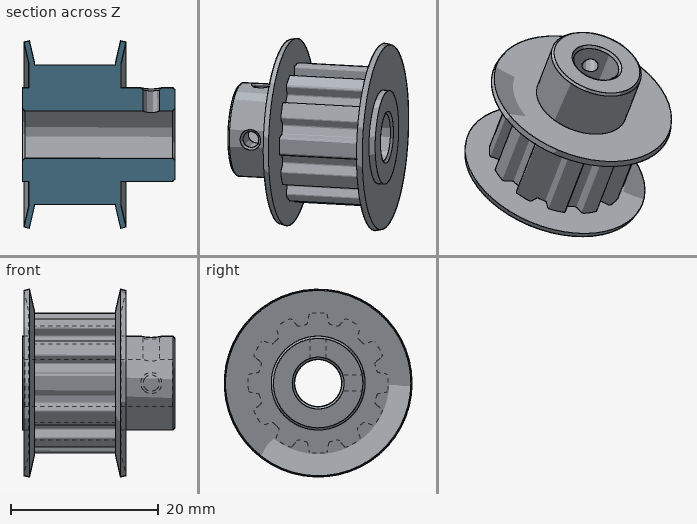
import cadquery as cq
import math


total_length = 20.65
belt_start = 1.65
belt_width = 10.92
belt_end = belt_start + belt_width

hub_radius = 6.35
hub_chamfer = 0.3
bore_radius = 3.18
bore_chamfer = 0.33

tooth_count = 12
tooth_tip_radius = 9.47
groove_depth = 1.4
groove_bottom_width = 1.32
groove_angle = 50.0
tip_fillet = 0.35
root_fillet = 0.38

flange_radius = 12.7
flange_bend_radius = 9.63
flange_thickness = 0.8
flange_bend_angle = 13.0

screw_x = 17.42
screw_radius = 1.1
screw_chamfer = 0.33


def disc(radius, start, end):
    """Solid cylinder about the X axis between two X positions."""
    return cq.Workplane("YZ").workplane(offset=start).circle(radius).extrude(end - start)


def bore_mouth(x, inward):
    """Conical cutter that bevels the bore edge at position x; inward is +1 or -1 along X."""
    mouth_radius = bore_radius + bore_chamfer
    return cq.Workplane(cq.Solid.makeCone(
        mouth_radius, bore_radius, bore_chamfer, cq.Vector(x, 0, 0), cq.Vector(inward, 0, 0)))


def toothed_core():
    """Cylinder with straight-sided belt grooves, rounded at tooth tips and groove roots."""
    root_radius = tooth_tip_radius - groove_depth
    cut_radius = tooth_tip_radius + groove_depth
    half_bottom = groove_bottom_width / 2
    half_top = half_bottom + (cut_radius - root_radius) * math.tan(math.radians(groove_angle / 2))
    groove = (
        cq.Workplane("YZ").workplane(offset=belt_start)
        .polyline([(root_radius, -half_bottom), (cut_radius, -half_top),
                   (cut_radius, half_top), (root_radius, half_bottom)])
        .close()
        .extrude(belt_width)
    )
    pitch_angle = 360 / tooth_count
    core = disc(tooth_tip_radius, belt_start, belt_end)
    for i in range(tooth_count):
        core = core.cut(groove.rotate((0, 0, 0), (1, 0, 0), (i + 0.5) * pitch_angle))

    split_radius = tooth_tip_radius - groove_depth / 2

    def round_edges(body, at_root, radius):
        edges = []
        for edge in body.edges("|X").vals():
            distance = math.hypot(edge.Center().y, edge.Center().z)
            if (distance < split_radius) == at_root:
                edges.append(edge)
        return body.newObject(edges).fillet(radius)

    core = round_edges(core, True, root_fillet)
    return round_edges(core, False, tip_fillet)


def flange(inner_x, outward):
    """Dished disc with its belt-side face at inner_x; outward is +1 or -1 along X."""
    bend = math.radians(flange_bend_angle)
    inner_bend_radius = flange_bend_radius + flange_thickness * math.tan(bend / 2)
    rim_offset = (flange_radius - inner_bend_radius) * math.tan(bend)
    outer_rim_offset = rim_offset + flange_thickness * math.cos(bend)
    outer_rim_radius = flange_radius - flange_thickness * math.sin(bend)
    profile = [
        (0, 0),
        (0, inner_bend_radius),
        (rim_offset, flange_radius),
        (outer_rim_offset, outer_rim_radius),
        (flange_thickness, flange_bend_radius),
        (flange_thickness, 0),
    ]
    return (
        cq.Workplane("XY")
        .polyline([(inner_x + outward * offset, radius) for offset, radius in profile])
        .close()
        .revolve(360, (0, 0, 0), (1, 0, 0))
    )


def drill_screw_hole(body, side):
    """Radial hole from the hub surface into the bore, on side "Y" or "Z", with a bevelled mouth."""
    axis = cq.Vector(0, 1, 0) if side == "Y" else cq.Vector(0, 0, 1)
    center = cq.Vector(screw_x, 0, 0)
    drill = cq.Solid.makeCylinder(screw_radius, hub_radius + screw_radius, center, axis)
    drilled = body.cut(cq.Workplane(drill))
    mouth = center + axis * hub_radius
    reach = cq.Vector(screw_radius, screw_radius, screw_radius)
    around_mouth = cq.selectors.BoxSelector((mouth - reach).toTuple(), (mouth + reach).toTuple())
    return drilled.edges(around_mouth).chamfer(screw_chamfer)


hub = disc(hub_radius, 0, total_length).faces(">X").edges().chamfer(hub_chamfer)

result = (
    toothed_core()
    .union(flange(belt_start, -1))
    .union(flange(belt_end, 1))
    .union(hub)
    .cut(disc(bore_radius, 0, total_length))
    .cut(bore_mouth(0, 1))
    .cut(bore_mouth(total_length, -1))
)
for side in ("Y", "Z"):
    result = drill_screw_hole(result, side)